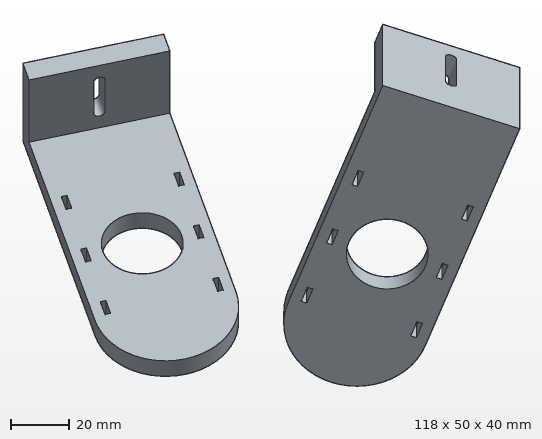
import cadquery as cq

length = 118.0
width = 50.0
height = 40.0
thickness = 8.0
nose_radius = width / 2
nose_center_x = length - nose_radius

hole_diameter = 28.0
hole_x = 63.0

small_slot_length = 6.0
small_slot_width = 2.0
slot_pitch = 25.0
slot_row_spacing = 40.0

wall_slot_length = 20.0
wall_slot_width = 4.0
wall_slot_z = 24.0


def make_base():
    """Flat plate with a semicircular nose at the +X end."""
    return (
        cq.Workplane("XY")
        .moveTo(0, -width / 2)
        .lineTo(nose_center_x, -width / 2)
        .threePointArc((length, 0), (nose_center_x, width / 2))
        .lineTo(0, width / 2)
        .close()
        .extrude(thickness)
    )


def make_wall():
    """Upright plate at the square end of the base."""
    return cq.Workplane("XY").box(thickness, width, height, centered=(False, True, False))


def make_base_cuts():
    """Large round hole and the rectangular slots beside it."""
    center = cq.Workplane("XY").center(hole_x, 0)
    hole = center.circle(hole_diameter / 2).extrude(thickness)
    slots = (
        center.rarray(slot_pitch, slot_row_spacing, 3, 2)
        .rect(small_slot_length, small_slot_width)
        .extrude(thickness)
    )
    return hole.union(slots)


def make_wall_slot():
    """Vertical slot with round ends."""
    return (
        cq.Workplane("YZ")
        .center(0, wall_slot_z)
        .slot2D(wall_slot_length, wall_slot_width, 90)
        .extrude(thickness)
    )


bracket = make_base().union(make_wall())
result = bracket.cut(make_base_cuts()).cut(make_wall_slot())